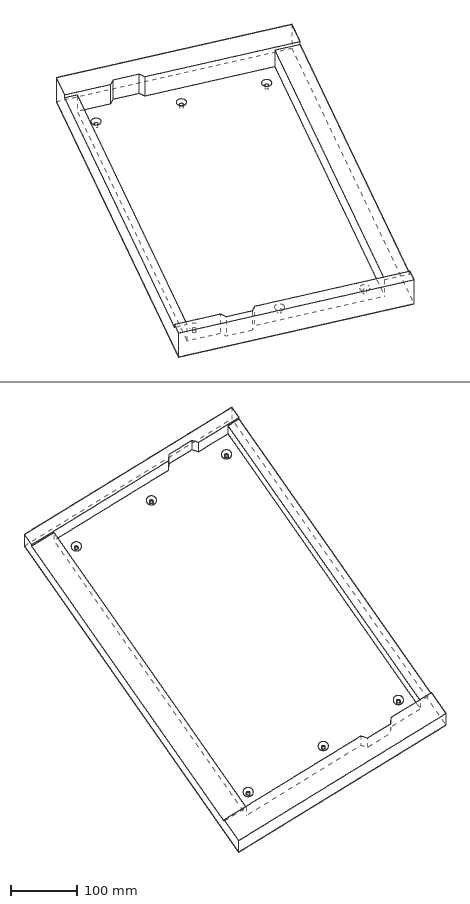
import cadquery as cq

length = 590.0
width = 374.0
height = 50.0

left_rail = 40.0
right_rail = 20.0
front_wall = 20.0
back_wall = 40.0
floor_thickness = 10.0
rail_rise = 6.0

notch_depth = 8.0
notch_mouth = 54.0
notch_bottom = 41.5
notch_center_y = 100.5

hole_diameter = 6.0
countersink_diameter = 15.5
countersink_angle = 90.0
hole_columns = (70.0, 543.5)
front_row_y = 40.0
back_row_y = 311.0

pocket_left = left_rail
pocket_right = length - right_rail
pocket_length = pocket_right - pocket_left
pocket_width = width - front_wall - back_wall
wall_top = height - rail_rise
rail_height = height - floor_thickness


def block(x, y, z, size_x, size_y, size_z):
    """Box placed by its lowest corner."""
    return cq.Workplane("XY").box(size_x, size_y, size_z, centered=False).translate((x, y, z))


def finger_notch(wall_x, outward):
    """Tapered notch cut into a side rail; outward is -1 for left and +1 for right."""
    deep_x = wall_x + outward * notch_depth
    return (
        cq.Workplane("XY", origin=(0, notch_center_y, floor_thickness))
        .moveTo(wall_x, -notch_mouth / 2)
        .lineTo(deep_x, -notch_bottom / 2)
        .lineTo(deep_x, notch_bottom / 2)
        .lineTo(wall_x, notch_mouth / 2)
        .close()
        .extrude(rail_height)
    )


body = block(0, 0, 0, length, width, height)

body = body.cut(block(pocket_left, 0, wall_top, pocket_length, width, rail_rise))
body = body.cut(block(pocket_left, front_wall, floor_thickness, pocket_length, pocket_width, rail_height))

body = body.cut(finger_notch(pocket_left, -1))
body = body.cut(finger_notch(pocket_right, 1))

hole_rows = (front_row_y, (front_row_y + back_row_y) / 2, back_row_y)
hole_points = [(x, y) for x in hole_columns for y in hole_rows]
result = (
    body.copyWorkplane(cq.Workplane("XY", origin=(0, 0, floor_thickness)))
    .pushPoints(hole_points)
    .cskHole(hole_diameter, countersink_diameter, countersink_angle)
)